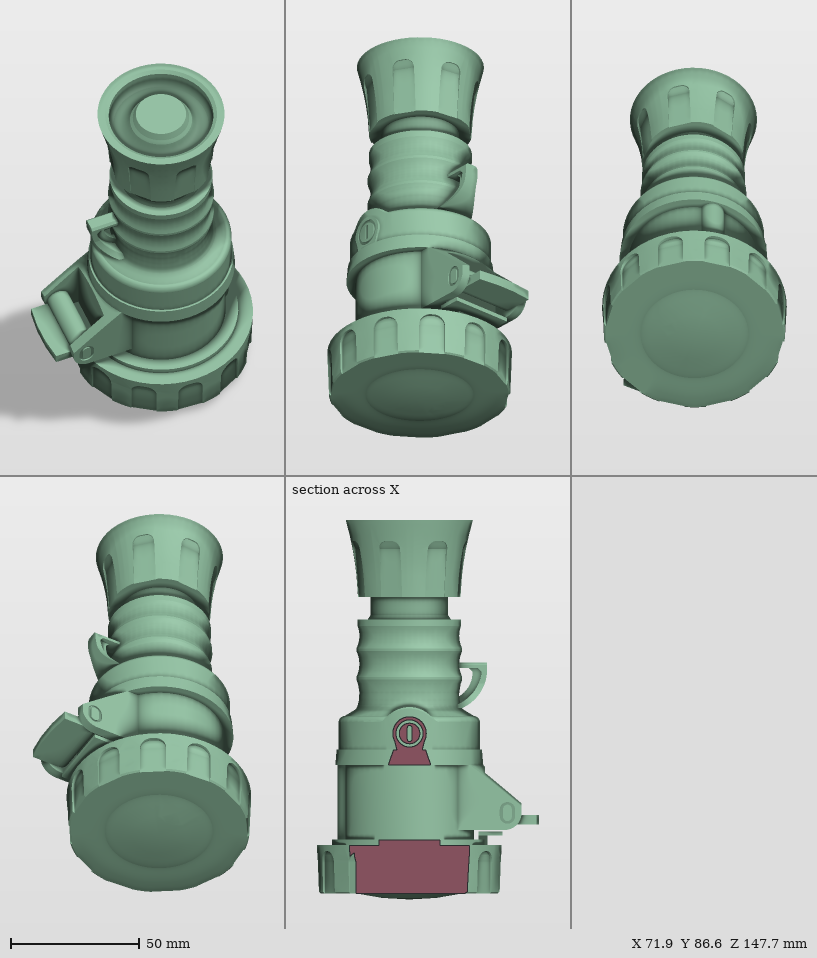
import cadquery as cq
import math


TOTAL_HEIGHT = 147.72
COLLAR_BOTTOM = 2.4
COLLAR_TOP = 21.2
FLANGE_TOP = 23.4
RING_BOTTOM = 52.4
RING_TOP = 58.3
BONNET_SHOULDER = 69.0
BONNET_CONE_BOTTOM = 71.4
BONNET_CONE_TOP = 73.7
GRIP_BOTTOM = 75.6
GRIP_RIDGES = (86.1, 97.2)
RIDGE_WIDTH = 1.1
LIP_BOTTOM = 106.4
LIP_TOP = 109.0
NECK_BOTTOM = 110.7
NECK_TOP = 117.8
RIM_EDGE = 146.3

COLLAR_RADIUS = 35.95
COLLAR_BOTTOM_RADIUS = 35.3
COLLAR_EDGE_CHAMFER = 0.6
COLLAR_OFFSET_X = -0.4
DOME_RADIUS = 21.0
FLANGE_RADIUS = 30.1
BODY_RADIUS = 25.2
RING_BOTTOM_RADIUS = 28.8
RING_TOP_RADIUS = 28.3
BONNET_RADIUS = 27.5
BONNET_CONE_RADII = (25.2, 21.4)
GRIP_BASE_RADIUS = 20.1
GRIP_WAIST_RADIUS = 19.45
RIDGE_RADIUS = 20.6
LIP_RADIUS = 20.1
NECK_FOOT_RADIUS = 16.2
NECK_RADIUS = 15.1
NOZZLE_BOTTOM_RADIUS = 20.0
NOZZLE_MID_RADIUS = 21.1
NOZZLE_MID_HEIGHT = 130.5
NOZZLE_EDGE_RADIUS = 24.4
NOZZLE_TOP_RADIUS = 24.75

MOUTH_RADIUS = 21.8
MOUTH_WALL_RADIUS = 20.4
MOUTH_WALL_TOP = 146.8
MOUTH_WALL_BOTTOM = 143.4
MOUTH_FLOOR = 141.0
MOUTH_FLOOR_RADII = (18.5, 15.9)
PLUG_FOOT_RADIUS = 12.1
PLUG_FOOT_HEIGHT = 143.9
PLUG_NECK_RADIUS = 11.0
PLUG_NECK_HEIGHT = 145.3
PLUG_RADIUS = 9.8

COLLAR_FLUTES = 12
COLLAR_FLUTE_ANGLE = -3.4
COLLAR_FLUTE_WIDTH = 10.1
COLLAR_FLUTE_CORNER = 4.5
COLLAR_FLUTE_TOP = 18.8
COLLAR_FLUTE_RAMP = 14.7
COLLAR_FLUTE_STEP = 16.9
COLLAR_FLUTE_DEPTH = 1.1
COLLAR_FLUTE_STEP_DEPTH = 0.8
NOZZLE_FLUTES = 7
NOZZLE_FLUTE_ANGLE = -8.0
NOZZLE_FLUTE_WIDTH = 8.8
NOZZLE_FLUTE_CORNER = 3.2
NOZZLE_FLUTE_TOP = 139.5
NOZZLE_FLUTE_RAMP = 136.5
NOZZLE_FLUTE_FLOOR = (19.2, 20.6)
NOZZLE_FLUTE_RUNOUT_RADIUS = 22.2
CUTTER_REACH = 45.0

RIB_RADIUS = 5.0
RIB_OUTER_Y = 28.0

BRACKET_HALF_WIDTH = 16.5
BRACKET_POCKET_HALF_WIDTH = 12.9
BRACKET_BOTTOM = 27.0
BRACKET_BACK_Y = -15.0
BRACKET_POCKET_Y = -29.5
BRACKET_CONE_HEIGHT = 51.7
BRACKET_CONE_SLOPE = 0.89
BRACKET_NOSE_Y = -37.0
BRACKET_NOSE_RADIUS = 6.7
PIN_Y = -38.2
PIN_Z = 33.7
PIN_SLOT_SIZE = (8.4, 6.0)
PIN_SIZE = (6.4, 3.4)
PIN_SLOT_DEPTH = 0.6

LEVER_HALF_WIDTH = 12.6
LEVER_BARREL_RADIUS = 4.5
LEVER_TIP_Y = -50.61
LEVER_SIDE_Y = -49.5
TAB_BOTTOM = 29.1
TAB_TOP = 32.9
CATCH_HALF_WIDTH = 13.0
CATCH_Y = (-26.9, -36.3)
CATCH_Z = (24.9, 26.5)
POST_HALF_WIDTH = 6.7
POST_Y = (-26.9, -30.5)

HOOK_TIP_Y = -30.3
HOOK_TOP = 92.2
HOOK_BAR_BOTTOM = 90.1
HOOK_FOOT = 74.6
HOOK_ROOT_Y = -18.0
HOOK_FOOT_Y = -20.8
HOOK_OUTER_MID = (-27.2, 79.9)
HOOK_STRIP_CURVE = ((-28.2, 88.6), (-25.4, 81.3), (HOOK_ROOT_Y, 75.6))
HOOK_WEB_CURVE = ((-24.6, 88.6), (-22.7, 82.2), (HOOK_ROOT_Y, 78.4))
HOOK_CORNER_RELIEF = 1.5
HOOK_WEB_HALF_WIDTH = 1.0
HOOK_FLARE_MID = (4.4, 79.4)
HOOK_HALF_WIDTH = 3.0
HOOK_FOOT_HALF_WIDTH = 8.1
HOOK_FLARE_TOP = 84.0
HOOK_BEVEL = 0.9

BULGE_TOP = 74.9
BULGE_CREST = (8.2, 71.6)
BULGE_SKIRT_MID = (11.5, 69.7)
BULGE_HALF_WIDTH = 15.7
BULGE_ROOT_X = -14.0
BULGE_EDGE_CHAMFER = 0.6
DIAL_Z = 64.7
DIAL_RADIUS = 6.6
DIAL_FACE_X = -27.8
DIAL_FOOT_HALF_WIDTH = 5.0
DIAL_RECESS_RADIUS = 5.2
DIAL_KNOB_RADIUS = 4.1
DIAL_RECESS_DEPTH = 0.6
DIAL_SLOT_SIZE = (6.2, 1.6)


def x_prism(outline, x_start, x_end):
    """Extrude a (Y, Z) outline drawn on the YZ plane between two X positions."""
    return outline.extrude(x_end - x_start).translate((x_start, 0, 0))


def box_between(x_range, y_range, z_range):
    """Box spanning the given ranges."""
    size = [abs(r[1] - r[0]) for r in (x_range, y_range, z_range)]
    centre = [(r[0] + r[1]) / 2 for r in (x_range, y_range, z_range)]
    return cq.Workplane("XY").box(*size).translate(tuple(centre))


def scallop(outline, z_end, r_end, z_start):
    """Continue a half profile with one concave grip scallop."""
    middle = (GRIP_WAIST_RADIUS, (z_start + z_end) / 2)
    return outline.threePointArc(middle, (r_end, z_end))


def collar():
    """Fluted handwheel collar with a shallow dome underneath."""
    dome_sphere = (DOME_RADIUS**2 + COLLAR_BOTTOM**2) / (2 * COLLAR_BOTTOM)
    dome_mid_radius = DOME_RADIUS / 2
    dome_mid_z = dome_sphere - math.sqrt(dome_sphere**2 - dome_mid_radius**2)
    blank = (
        cq.Workplane("XZ")
        .moveTo(0, 0)
        .threePointArc((dome_mid_radius, dome_mid_z), (DOME_RADIUS, COLLAR_BOTTOM))
        .lineTo(COLLAR_BOTTOM_RADIUS - COLLAR_EDGE_CHAMFER, COLLAR_BOTTOM)
        .lineTo(COLLAR_BOTTOM_RADIUS, COLLAR_BOTTOM + COLLAR_EDGE_CHAMFER)
        .lineTo(COLLAR_RADIUS, COLLAR_TOP)
        .lineTo(0, COLLAR_TOP)
        .close()
        .revolve(360, (0, 0, 0), (0, 1, 0))
    )
    fluted = cut_flutes(blank, collar_flute(), COLLAR_FLUTES, COLLAR_FLUTE_ANGLE)
    return fluted.translate((COLLAR_OFFSET_X, 0, 0))


def turned_body():
    """Everything above the collar that is round about the nozzle axis."""
    half_ridge = RIDGE_WIDTH / 2
    outline = (
        cq.Workplane("XZ")
        .moveTo(0, COLLAR_TOP)
        .lineTo(FLANGE_RADIUS, COLLAR_TOP)
        .lineTo(FLANGE_RADIUS, FLANGE_TOP)
        .lineTo(BODY_RADIUS, FLANGE_TOP)
        .lineTo(BODY_RADIUS, RING_BOTTOM)
        .lineTo(RING_BOTTOM_RADIUS, RING_BOTTOM)
        .lineTo(RING_TOP_RADIUS, RING_TOP)
        .lineTo(BONNET_RADIUS, RING_TOP)
        .lineTo(BONNET_RADIUS, BONNET_SHOULDER)
        .tangentArcPoint((BONNET_CONE_RADII[0], BONNET_CONE_BOTTOM), relative=False)
        .lineTo(BONNET_CONE_RADII[1], BONNET_CONE_TOP)
        .tangentArcPoint((GRIP_BASE_RADIUS, GRIP_BOTTOM), relative=False)
    )
    z_start = GRIP_BOTTOM
    for ridge in GRIP_RIDGES:
        outline = scallop(outline, ridge - half_ridge, RIDGE_RADIUS, z_start)
        outline = outline.lineTo(RIDGE_RADIUS, ridge + half_ridge)
        z_start = ridge + half_ridge
    outline = scallop(outline, LIP_BOTTOM, LIP_RADIUS, z_start)
    outline = (
        outline.lineTo(LIP_RADIUS, LIP_TOP)
        .lineTo(NECK_FOOT_RADIUS, LIP_TOP)
        .lineTo(NECK_RADIUS, NECK_BOTTOM)
        .lineTo(NECK_RADIUS, NECK_TOP)
        .lineTo(NOZZLE_BOTTOM_RADIUS, NECK_TOP)
        .threePointArc((NOZZLE_MID_RADIUS, NOZZLE_MID_HEIGHT), (NOZZLE_EDGE_RADIUS, RIM_EDGE))
        .lineTo(NOZZLE_TOP_RADIUS, TOTAL_HEIGHT)
        .lineTo(MOUTH_RADIUS, TOTAL_HEIGHT)
        .lineTo(MOUTH_WALL_RADIUS, MOUTH_WALL_TOP)
        .lineTo(MOUTH_WALL_RADIUS, MOUTH_WALL_BOTTOM)
        .tangentArcPoint((MOUTH_FLOOR_RADII[0], MOUTH_FLOOR), relative=False)
        .lineTo(MOUTH_FLOOR_RADII[1], MOUTH_FLOOR)
        .tangentArcPoint((PLUG_FOOT_RADIUS, PLUG_FOOT_HEIGHT), relative=False)
        .lineTo(PLUG_NECK_RADIUS, PLUG_NECK_HEIGHT)
        .lineTo(PLUG_RADIUS, TOTAL_HEIGHT)
        .lineTo(0, TOTAL_HEIGHT)
        .close()
    )
    return outline.revolve(360, (0, 0, 0), (0, 1, 0))


def flute_cutter(width, bottom, top, corner, floor):
    """Cutter on the -Y side: round-topped outline whose floor follows (radius, Z) points."""
    half = width / 2
    diagonal = corner * math.sqrt(0.5)
    face = (
        cq.Workplane("XZ")
        .moveTo(-half, bottom)
        .lineTo(-half, top - corner)
        .threePointArc(
            (-half + corner - diagonal, top - corner + diagonal), (-half + corner, top)
        )
        .lineTo(half - corner, top)
        .threePointArc(
            (half - corner + diagonal, top - corner + diagonal), (half, top - corner)
        )
        .lineTo(half, bottom)
        .close()
        .extrude(CUTTER_REACH)
    )
    side = [(-radius, z) for radius, z in floor]
    side += [(-CUTTER_REACH, floor[-1][1]), (-CUTTER_REACH, floor[0][1])]
    return face.intersect(x_prism(cq.Workplane("YZ").polyline(side).close(), -width, width))


def cut_flutes(solid, cutter, count, first_angle):
    """Cut a ring of equal flutes; angles run from -Y toward +X."""
    for index in range(count):
        angle = first_angle + index * 360 / count
        solid = solid.cut(cutter.rotate((0, 0, 0), (0, 0, 1), angle))
    return solid


def collar_flute():
    floor_radius = COLLAR_BOTTOM_RADIUS - COLLAR_FLUTE_DEPTH
    step_radius = COLLAR_BOTTOM_RADIUS - COLLAR_FLUTE_STEP_DEPTH
    floor = [
        (floor_radius, 0),
        (floor_radius, COLLAR_FLUTE_RAMP),
        (step_radius, COLLAR_FLUTE_STEP),
        (step_radius, COLLAR_FLUTE_TOP),
    ]
    return flute_cutter(COLLAR_FLUTE_WIDTH, 0, COLLAR_FLUTE_TOP, COLLAR_FLUTE_CORNER, floor)


def nozzle_flute():
    floor = [
        (NOZZLE_FLUTE_FLOOR[0], NECK_TOP),
        (NOZZLE_FLUTE_FLOOR[1], NOZZLE_FLUTE_RAMP),
        (NOZZLE_FLUTE_RUNOUT_RADIUS, NOZZLE_FLUTE_TOP),
    ]
    return flute_cutter(
        NOZZLE_FLUTE_WIDTH, NECK_TOP, NOZZLE_FLUTE_TOP, NOZZLE_FLUTE_CORNER, floor
    )


def rear_rib():
    """Half-round rib along the back of the body, between flange and ring."""
    return (
        cq.Workplane("XY", origin=(0, RIB_OUTER_Y - RIB_RADIUS, FLANGE_TOP))
        .circle(RIB_RADIUS)
        .extrude(RING_BOTTOM - FLANGE_TOP)
    )


def pin_stadium(size, depth):
    """Upright stadium at the pin, centred on the bracket's -X face."""
    return (
        cq.Workplane("YZ", origin=(-BRACKET_HALF_WIDTH, PIN_Y, PIN_Z))
        .slot2D(size[0], size[1], 90)
        .extrude(depth)
    )


def bracket():
    """Two cheeks joined to the body under a conical top, with the pin ends set in slots."""
    nose_z = BRACKET_BOTTOM + BRACKET_NOSE_RADIUS
    nose_y = BRACKET_NOSE_Y - BRACKET_NOSE_RADIUS
    side = (
        cq.Workplane("YZ")
        .moveTo(BRACKET_BACK_Y, BRACKET_BOTTOM)
        .lineTo(BRACKET_NOSE_Y, BRACKET_BOTTOM)
        .tangentArcPoint((nose_y, nose_z), relative=False)
        .lineTo(nose_y, RING_BOTTOM)
        .lineTo(BRACKET_BACK_Y, RING_BOTTOM)
        .close()
    )
    block = x_prism(side, -BRACKET_HALF_WIDTH, BRACKET_HALF_WIDTH)

    apex = BRACKET_CONE_HEIGHT - BRACKET_POCKET_Y * BRACKET_CONE_SLOPE
    cone = (
        cq.Workplane("XZ")
        .polyline([(0, 0), (apex / BRACKET_CONE_SLOPE, 0), (0, apex)])
        .close()
        .revolve(360, (0, 0, 0), (0, 1, 0))
    )
    pocket = box_between(
        (-BRACKET_POCKET_HALF_WIDTH, BRACKET_POCKET_HALF_WIDTH),
        (BRACKET_POCKET_Y, -CUTTER_REACH),
        (0, RING_TOP),
    )
    solid = block.intersect(cone).cut(pocket)

    slot = pin_stadium(PIN_SLOT_SIZE, PIN_SLOT_DEPTH)
    solid = solid.cut(slot).cut(slot.mirror("YZ"))
    return solid.union(pin_stadium(PIN_SIZE, 2 * BRACKET_HALF_WIDTH))


def lever():
    """Barrel around the pin with a thumb tab whose free edge is bowed."""
    barrel = x_prism(
        cq.Workplane("YZ").center(PIN_Y, PIN_Z).circle(LEVER_BARREL_RADIUS),
        -LEVER_HALF_WIDTH,
        LEVER_HALF_WIDTH,
    )
    tab = (
        cq.Workplane("XY", origin=(0, 0, TAB_BOTTOM))
        .moveTo(-LEVER_HALF_WIDTH, PIN_Y)
        .lineTo(-LEVER_HALF_WIDTH, LEVER_SIDE_Y)
        .threePointArc((0, LEVER_TIP_Y), (LEVER_HALF_WIDTH, LEVER_SIDE_Y))
        .lineTo(LEVER_HALF_WIDTH, PIN_Y)
        .close()
        .extrude(TAB_TOP - TAB_BOTTOM)
    )
    return barrel.union(tab)


def catch():
    """Plate on a short post that stands on the collar below the lever."""
    plate = box_between((-CATCH_HALF_WIDTH, CATCH_HALF_WIDTH), CATCH_Y, CATCH_Z)
    post = box_between((-POST_HALF_WIDTH, POST_HALF_WIDTH), POST_Y, (COLLAR_TOP, CATCH_Z[1]))
    return plate.union(post)


def hook_side(inner_corner, inner_mid, inner_end, half_width):
    """Hook side shape between the outer curve and a given inner curve, listed from the top."""
    outline = (
        cq.Workplane("YZ")
        .moveTo(HOOK_ROOT_Y, HOOK_TOP)
        .lineTo(HOOK_TIP_Y, HOOK_TOP)
        .lineTo(HOOK_TIP_Y, HOOK_BAR_BOTTOM)
        .threePointArc(HOOK_OUTER_MID, (HOOK_FOOT_Y, HOOK_FOOT))
        .lineTo(HOOK_ROOT_Y, HOOK_FOOT)
        .lineTo(*inner_end)
        .threePointArc(inner_mid, inner_corner)
        .lineTo(inner_corner[0] + HOOK_CORNER_RELIEF, HOOK_BAR_BOTTOM)
        .lineTo(HOOK_ROOT_Y, HOOK_BAR_BOTTOM)
        .close()
    )
    return x_prism(outline, -half_width, half_width)


def hook():
    """Curved finger hook of T section: an outer strip with a flared foot and a thin inner web."""
    front = (
        cq.Workplane("XZ")
        .moveTo(-HOOK_HALF_WIDTH, HOOK_TOP)
        .lineTo(-HOOK_HALF_WIDTH, HOOK_FLARE_TOP)
        .threePointArc((-HOOK_FLARE_MID[0], HOOK_FLARE_MID[1]), (-HOOK_FOOT_HALF_WIDTH, HOOK_FOOT))
        .lineTo(HOOK_FOOT_HALF_WIDTH, HOOK_FOOT)
        .threePointArc(HOOK_FLARE_MID, (HOOK_HALF_WIDTH, HOOK_FLARE_TOP))
        .lineTo(HOOK_HALF_WIDTH, HOOK_TOP)
        .close()
        .extrude(CUTTER_REACH)
    )
    strip = hook_side(*HOOK_STRIP_CURVE, HOOK_FOOT_HALF_WIDTH).intersect(front)
    strip = strip.faces(">Z").edges("|Y").chamfer(HOOK_BEVEL)
    return strip.union(hook_side(*HOOK_WEB_CURVE, HOOK_WEB_HALF_WIDTH))


def bulge():
    """Bell-shaped swelling of the bonnet shoulder, trimmed to the bonnet cylinder."""
    outline = (
        cq.Workplane("YZ")
        .moveTo(-BULGE_HALF_WIDTH, RING_TOP)
        .lineTo(-BULGE_HALF_WIDTH, BONNET_SHOULDER)
        .threePointArc((-BULGE_SKIRT_MID[0], BULGE_SKIRT_MID[1]), (-BULGE_CREST[0], BULGE_CREST[1]))
        .threePointArc((0, BULGE_TOP), BULGE_CREST)
        .threePointArc(BULGE_SKIRT_MID, (BULGE_HALF_WIDTH, BONNET_SHOULDER))
        .lineTo(BULGE_HALF_WIDTH, RING_TOP)
        .close()
    )
    barrel = cq.Workplane("XY").circle(BONNET_RADIUS).extrude(TOTAL_HEIGHT)
    solid = x_prism(outline, -CUTTER_REACH, BULGE_ROOT_X).intersect(barrel)
    crest_edge = cq.selectors.NearestToPointSelector((-BONNET_RADIUS, 0, BULGE_TOP))
    return solid.edges(crest_edge).chamfer(BULGE_EDGE_CHAMFER)


def dial():
    """Round indicator face on a tapered foot, with a ring recess and a slotted centre."""
    def disc(radius, depth):
        circle = cq.Workplane("YZ").center(0, DIAL_Z).circle(radius)
        return x_prism(circle, DIAL_FACE_X, DIAL_FACE_X + depth)

    reach = BULGE_ROOT_X - DIAL_FACE_X
    foot = x_prism(
        cq.Workplane("YZ")
        .polyline(
            [
                (-DIAL_RADIUS, DIAL_Z),
                (-DIAL_FOOT_HALF_WIDTH, RING_TOP),
                (DIAL_FOOT_HALF_WIDTH, RING_TOP),
                (DIAL_RADIUS, DIAL_Z),
            ]
        )
        .close(),
        DIAL_FACE_X,
        BULGE_ROOT_X,
    )
    ring = disc(DIAL_RECESS_RADIUS, DIAL_RECESS_DEPTH).cut(disc(DIAL_KNOB_RADIUS, reach))
    slot = x_prism(
        cq.Workplane("YZ").center(0, DIAL_Z).slot2D(DIAL_SLOT_SIZE[0], DIAL_SLOT_SIZE[1], 90),
        DIAL_FACE_X,
        DIAL_FACE_X + DIAL_RECESS_DEPTH,
    )
    return disc(DIAL_RADIUS, reach).union(foot), ring.union(slot)


body = turned_body()
body = cut_flutes(body, nozzle_flute(), NOZZLE_FLUTES, NOZZLE_FLUTE_ANGLE)
for feature in (collar(), rear_rib(), bracket(), lever(), catch(), hook(), bulge()):
    body = body.union(feature)
dial_boss, dial_recess = dial()
result = body.union(dial_boss).cut(dial_recess)